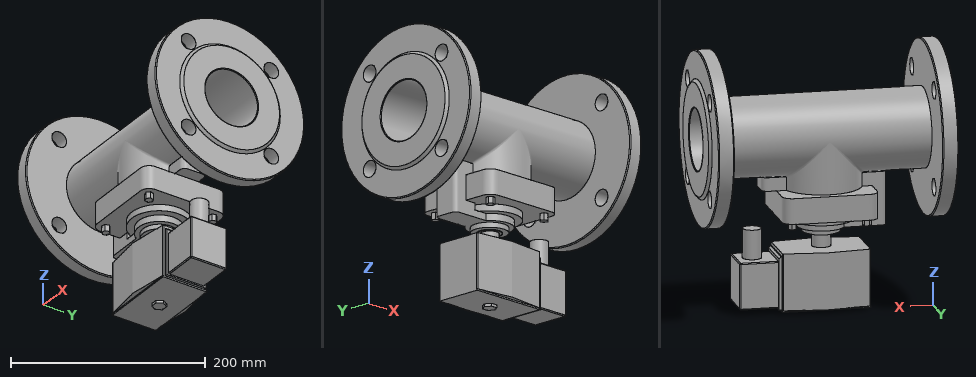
import cadquery as cq
import math

body_length = 259.0
pipe_d = 85.0
bore_d = 65.0
bore_edge_chamfer = 0.8
bevel_angle = 45

flange_d = 185.0
flange_thickness = 17.0
flange_chamfer = 1.0
raised_face_d = 125.0
raised_face_height = 3.0
bolt_circle_d = 145.1
bolt_hole_d = 18.0
bolt_count = 4
first_bolt_angle = 45

stem_x = -2.5

branch_fillet = 2.8
branch_end_z = -55.5
bore_depth = (body_length - pipe_d) / 2

bonnet_side = 100.5
bonnet_corner_r = 10.8
bonnet_bottom_z = -82.8

cover_d = 68.0
cover_bottom_z = -90.3
screw_across_flats = 8.0
screw_spacing = 79.0
screw_turn = 15
hub_d = 51.0
hub_bottom_z = -98.0
collar_d = 40.0
collar_bottom_z = -103.5
collar_lip_d = 26.3
collar_lip_height = 0.8
stem_d = 20.0

bracket_width = 29.6
bracket_left_x = -68.0
bracket_right_x = 63.0
bracket_top_z = -41.0
bracket_leg_thickness = 28.5
bracket_left_r = 4.7
bracket_right_r = 6.0

housing_left_x = -48.8
housing_right_x = 44.3
housing_mid_width = 65.5
housing_end_width = 54.3
housing_top_z = -119.5
housing_base_z = -179.8
housing_bottom_z = -181.5
housing_edge_chamfer = 1.0

overall_height = 277.0
drive_across_flats = 13.3
drive_bottom_z = flange_d / 2 - overall_height

gasket_right_x = 47.5
gasket_width = 48.8
gasket_top_z = -123.0
gasket_bottom_z = -179.5
gasket_chamfer = 2.2
connector_right_x = 88.0
connector_width = 45.0
connector_top_z = -128.3
connector_bottom_z = -177.8
connector_chamfer = 1.0
cable_gland_d = 20.0
cable_gland_x = 70.4
cable_gland_top_z = -97.0


def box_between(x0, x1, width, z0, z1):
    """Box from x0 to x1 and z0 to z1, centred across Y."""
    return cq.Workplane("XY").box(x1 - x0, width, z1 - z0).translate(((x0 + x1) / 2, 0, (z0 + z1) / 2))


def plane_at(z):
    """Horizontal plane at height z, with its origin on the stem axis."""
    return cq.Workplane("XY", origin=(stem_x, 0, z))


def disc(diameter, z_top, z_bottom):
    """Upright cylinder on the stem axis."""
    return plane_at(z_bottom).circle(diameter / 2).extrude(z_top - z_bottom)


def hexagon(across_flats, height):
    """Hexagonal prism standing on Z = 0 with a corner on the X axis."""
    return cq.Workplane("XY").polygon(6, across_flats / math.cos(math.pi / 6)).extrude(height)


def make_end_flange():
    """Flange with bevelled raised face on the -X end."""
    flange_outer_x = -body_length / 2 + raised_face_height
    flange = (
        cq.Workplane("YZ", origin=(flange_outer_x, 0, 0))
        .circle(flange_d / 2)
        .extrude(flange_thickness)
        .edges()
        .chamfer(flange_chamfer)
    )
    raised_face = (
        cq.Workplane("YZ", origin=(flange_outer_x, 0, 0))
        .circle(raised_face_d / 2)
        .extrude(-raised_face_height, taper=bevel_angle)
    )
    bolt_holes = (
        cq.Workplane("YZ", origin=(flange_outer_x, 0, 0))
        .polarArray(bolt_circle_d / 2, first_bolt_angle, 360, bolt_count)
        .circle(bolt_hole_d / 2)
        .extrude(flange_thickness)
    )
    return flange.union(raised_face).cut(bolt_holes)


def make_end_bore():
    """Blind bore entering from the -X end, with a bevelled mouth."""
    mouth = cq.Workplane("YZ", origin=(-body_length / 2, 0, 0))
    bore = mouth.circle(bore_d / 2).extrude(bore_depth)
    bevel = mouth.circle(bore_d / 2 + bore_edge_chamfer).extrude(bore_edge_chamfer, taper=bevel_angle)
    return bore.union(bevel)


def make_tee():
    """Pipe and branch, with a fillet along the seam where they cross."""
    pipe_end_x = body_length / 2 - raised_face_height - flange_thickness / 2
    pipe = cq.Workplane("YZ", origin=(-pipe_end_x, 0, 0)).circle(pipe_d / 2).extrude(2 * pipe_end_x)
    branch = plane_at(branch_end_z).circle(pipe_d / 2).extrude(-branch_end_z)
    return pipe.union(branch).edges("%ELLIPSE").fillet(branch_fillet)


def make_bonnet():
    return (
        plane_at(bonnet_bottom_z)
        .rect(bonnet_side, bonnet_side)
        .extrude(branch_end_z - bonnet_bottom_z)
        .edges("|Z")
        .fillet(bonnet_corner_r)
    )


def make_gland():
    gland = disc(cover_d, bonnet_bottom_z, cover_bottom_z)
    gland = gland.union(disc(hub_d, cover_bottom_z, hub_bottom_z))
    gland = gland.union(disc(collar_d, hub_bottom_z, collar_bottom_z))
    gland = gland.union(disc(collar_lip_d, collar_bottom_z, collar_bottom_z - collar_lip_height))
    return gland.union(disc(stem_d, collar_bottom_z, housing_top_z))


def make_screws():
    """Hexagon heads under the bonnet corners, each with a flat facing its corner."""
    screws = cq.Workplane("XY")
    offset = screw_spacing / 2
    for side_x in (-1, 1):
        for side_y in (-1, 1):
            head = hexagon(screw_across_flats, bonnet_bottom_z - cover_bottom_z)
            head = head.rotate((0, 0, 0), (0, 0, 1), screw_turn * side_x * side_y)
            screws = screws.union(head.translate((stem_x + side_x * offset, side_y * offset, cover_bottom_z)))
    return screws


def make_bracket():
    """C-shaped bar: upper arm through the branch, leg on the -X side, lower arm to the hub."""
    leg_right_x = bracket_left_x + bracket_leg_thickness
    upper_arm = box_between(bracket_left_x, bracket_right_x, bracket_width, branch_end_z, bracket_top_z)
    leg = box_between(bracket_left_x, leg_right_x, bracket_width, hub_bottom_z, bracket_top_z)
    lower_arm = box_between(bracket_left_x, stem_x, bracket_width, hub_bottom_z, cover_bottom_z)
    bracket = upper_arm.union(leg).union(lower_arm).clean()
    bracket = bracket.edges("|Z and <X").fillet(bracket_left_r)
    return bracket.edges("|Z and >X").fillet(bracket_right_r)


def make_housing():
    """Housing that is widest at the stem axis, on a rectangular base plate."""
    half_end = housing_end_width / 2
    half_mid = housing_mid_width / 2
    shell = (
        cq.Workplane("XY", origin=(0, 0, housing_base_z))
        .polyline(
            [
                (housing_left_x, -half_end),
                (stem_x, -half_mid),
                (housing_right_x, -half_end),
                (housing_right_x, half_end),
                (stem_x, half_mid),
                (housing_left_x, half_end),
            ]
        )
        .close()
        .extrude(housing_top_z - housing_base_z)
        .edges("|Z and (<X or >X)")
        .chamfer(housing_edge_chamfer)
    )
    base = box_between(housing_left_x, housing_right_x, housing_end_width, housing_bottom_z, housing_base_z)
    drive = hexagon(drive_across_flats, housing_bottom_z - drive_bottom_z)
    return shell.union(base).union(drive.translate((stem_x, 0, drive_bottom_z)))


def make_connector():
    gasket = box_between(housing_right_x, gasket_right_x, gasket_width, gasket_bottom_z, gasket_top_z)
    gasket = gasket.edges(">X and >Z").chamfer(gasket_chamfer)
    box = box_between(gasket_right_x, connector_right_x, connector_width, connector_bottom_z, connector_top_z)
    box = box.edges("not <X").chamfer(connector_chamfer)
    cable_gland = (
        cq.Workplane("XY", origin=(cable_gland_x, 0, connector_top_z))
        .circle(cable_gland_d / 2)
        .extrude(cable_gland_top_z - connector_top_z)
    )
    return gasket.union(box).union(cable_gland)


result = make_tee()
for feature in (make_bonnet(), make_gland(), make_screws(), make_bracket(), make_housing(), make_connector()):
    result = result.union(feature)

end_flange = make_end_flange()
end_bore = make_end_bore()
result = result.union(end_flange).union(end_flange.mirror("YZ"))
result = result.cut(end_bore).cut(end_bore.mirror("YZ"))